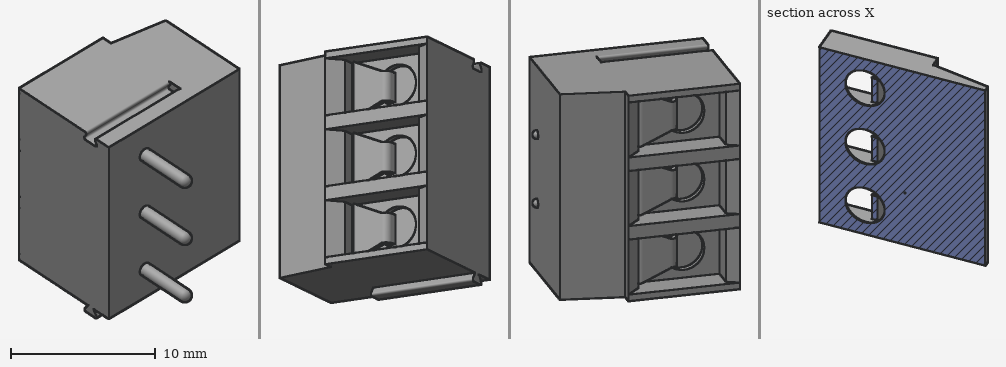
import cadquery as cq
import math

pole_count = 3
pole_pitch = 5.08
body_height = pole_count * pole_pitch
body_width = 9.0
body_depth = 12.49
step_depth = 8.03
step_inset = 0.81
top_inset = 1.61
clamp_y = 3.44
rail_x = 7.18

pocket_height = 4.08
pocket_depth = 2.0
upper_bevel = 1.0
lower_bevel_y = 0.9
lower_bevel_x = 0.43
hole_radius = 1.47
hole_depth = 0.51

sheet = 0.4
leaf_front = 1.65
leaf_back = leaf_front + sheet
leaf_end = 6.88
taper_start = 6.69
tab_start = 4.43
tab_width = 2.12
bend_radius = 0.5
tab_tilt = 10.0

dovetail_depth = 0.68
neck_half = 0.29
base_half = 0.75
groove_clearance = 0.02
dovetail_fillet = 0.15

pin_radius = 0.5
pin_length = 4.5
nub_radius = 0.32


def make_body():
    """Stepped housing block with a sloping -X face above the step."""
    outline = [
        (0, 0),
        (body_width, 0),
        (body_width, body_depth),
        (top_inset, body_depth),
        (step_inset, step_depth),
        (0, step_depth),
    ]
    return cq.Workplane("XY").polyline(outline).close().extrude(body_height)


def make_dovetail(root_z, clearance):
    """Dovetail bar running along Y, narrow at root_z and wider below it."""
    neck = neck_half + clearance
    base = base_half + clearance
    base_z = root_z - dovetail_depth
    section = [
        (rail_x - neck, root_z),
        (rail_x + neck, root_z),
        (rail_x + base, base_z),
        (rail_x - base, base_z),
    ]
    bar = cq.Workplane("XZ").polyline(section).close().extrude(-step_depth)
    return bar.faces("<Z").edges("|Y").fillet(dovetail_fillet)


def cut_groove(body):
    """Cut the dovetail groove into the top of the body and round its mouth."""
    grooved = body.cut(make_dovetail(body_height, groove_clearance))
    neck = neck_half + groove_clearance
    for x in (rail_x - neck, rail_x + neck):
        mouth_edge = cq.selectors.NearestToPointSelector((x, step_depth / 2, body_height))
        grooved = grooved.edges(mouth_edge).fillet(dovetail_fillet)
    return grooved


def make_pocket(z):
    """Bevelled wire-entry pocket with a shallow wire hole in its floor."""
    outline = [
        (0, 0),
        (lower_bevel_x, lower_bevel_y),
        (pocket_depth, lower_bevel_y),
        (pocket_depth, step_depth - upper_bevel),
        (upper_bevel, step_depth - upper_bevel),
        (0, step_depth),
    ]
    pocket = (
        cq.Workplane("XY", origin=(0, 0, z - pocket_height / 2))
        .polyline(outline).close().extrude(pocket_height)
    )
    hole = (
        cq.Workplane("YZ", origin=(pocket_depth, clamp_y, z))
        .circle(hole_radius).extrude(hole_depth)
    )
    return pocket.union(hole)


def make_leaf(z):
    """Spring leaf: bent sheet section in XY, trimmed to its tapered outline in YZ."""
    tab_bottom = pocket_depth + hole_depth
    center = (leaf_front + bend_radius, tab_start)
    inner_radius = bend_radius - sheet

    def on_bend(radius, degrees):
        angle = math.radians(degrees)
        return (center[0] - radius * math.cos(angle), center[1] - radius * math.sin(angle))

    def at_tab_bottom(start):
        run = tab_bottom - start[0]
        return (tab_bottom, start[1] - run * math.tan(math.radians(tab_tilt)))

    sweep = 90 - tab_tilt
    outer_end = on_bend(bend_radius, sweep)
    inner_end = on_bend(inner_radius, sweep)
    edge_center = (leaf_back, leaf_end - sheet)
    corner = sheet * math.sqrt(0.5)
    section = (
        cq.Workplane("XY", origin=(0, 0, z - pocket_height / 2))
        .moveTo(leaf_back, leaf_end)
        .threePointArc(
            (edge_center[0] - corner, edge_center[1] + corner),
            (leaf_front, edge_center[1]),
        )
        .lineTo(leaf_front, tab_start)
        .threePointArc(on_bend(bend_radius, sweep / 2), outer_end)
        .lineTo(*at_tab_bottom(outer_end))
        .lineTo(*at_tab_bottom(inner_end))
        .lineTo(*inner_end)
        .threePointArc(on_bend(inner_radius, sweep / 2), (leaf_back, tab_start))
        .close()
        .extrude(pocket_height)
    )
    outline = [
        (leaf_end, pocket_height / 2),
        (taper_start, pocket_height / 2),
        (tab_start, tab_width / 2),
        (clamp_y, tab_width / 2),
        (clamp_y, -tab_width / 2),
        (tab_start, -tab_width / 2),
        (taper_start, -pocket_height / 2),
        (leaf_end, -pocket_height / 2),
    ]
    trim = cq.Workplane("YZ", origin=(0, 0, z)).polyline(outline).close().extrude(tab_bottom)
    return section.intersect(trim)


def make_pin(z):
    """Round pin on the +X face with a hemispherical tip."""
    shank_length = pin_length - pin_radius
    shank = cq.Workplane("YZ", origin=(body_width, clamp_y, z)).circle(pin_radius).extrude(shank_length)
    tip = cq.Workplane("XY", origin=(body_width + shank_length, clamp_y, z)).sphere(pin_radius)
    return shank.union(tip)


result = cut_groove(make_body()).union(make_dovetail(0, 0))

for pole in range(pole_count):
    pole_z = (pole + 0.5) * pole_pitch
    result = result.cut(make_pocket(pole_z)).union(make_leaf(pole_z)).union(make_pin(pole_z))

for gap in range(1, pole_count):
    nub = cq.Workplane("XY", origin=(rail_x, body_depth, gap * pole_pitch)).sphere(nub_radius)
    result = result.union(nub)